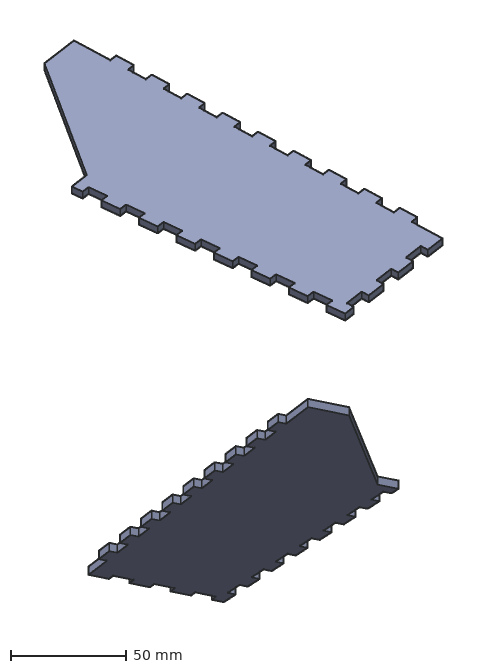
import cadquery as cq

length = 208.0
depth = 80.0
thickness = 4.0
joint_depth = thickness

top_tab_count = 9
top_tab_run = 170.0
top_tab_start = 20.5
finger = top_tab_run / (2 * top_tab_count - 1)
pitch = 2 * finger
right_notch_count = 3
bottom_notch_count = 7

left_edge = 2 * finger
step_x = 62.2
step_y = -66.0
bottom_left_y = joint_depth - depth
bottom_right_y = -66.0
bottom_slope = (bottom_right_y - bottom_left_y) / (length - step_x)


def bottom_y(x):
    """Height of the sloping bottom edge at x."""
    return bottom_right_y + bottom_slope * (x - length)


def prism(points):
    """Extrude a closed outline through the sheet thickness."""
    return cq.Workplane("XY").polyline(points).close().extrude(thickness)


def top_tab(index):
    left = top_tab_start + index * pitch
    right = left + finger
    return prism([(left, -joint_depth), (right, -joint_depth), (right, joint_depth), (left, joint_depth)])


def right_notch(index):
    upper = -finger - index * pitch
    lower = upper - finger
    inner = length - joint_depth
    outer = length + joint_depth
    return prism([(inner, lower), (outer, lower), (outer, upper), (inner, upper)])


def bottom_notch(index):
    """Notch with upright walls and a floor parallel to the sloping edge."""
    right = length - finger - index * pitch
    left = right - finger
    return prism([
        (left, bottom_y(left) - joint_depth),
        (right, bottom_y(right) - joint_depth),
        (right, bottom_y(right) + joint_depth),
        (left, bottom_y(left) + joint_depth),
    ])


result = prism([
    (0, 0),
    (length, 0),
    (length, bottom_right_y),
    (step_x, bottom_left_y),
    (step_x, step_y),
    (0, -left_edge),
])
for i in range(top_tab_count):
    result = result.union(top_tab(i))
for i in range(right_notch_count):
    result = result.cut(right_notch(i))
for i in range(bottom_notch_count):
    result = result.cut(bottom_notch(i))
result = result.clean()